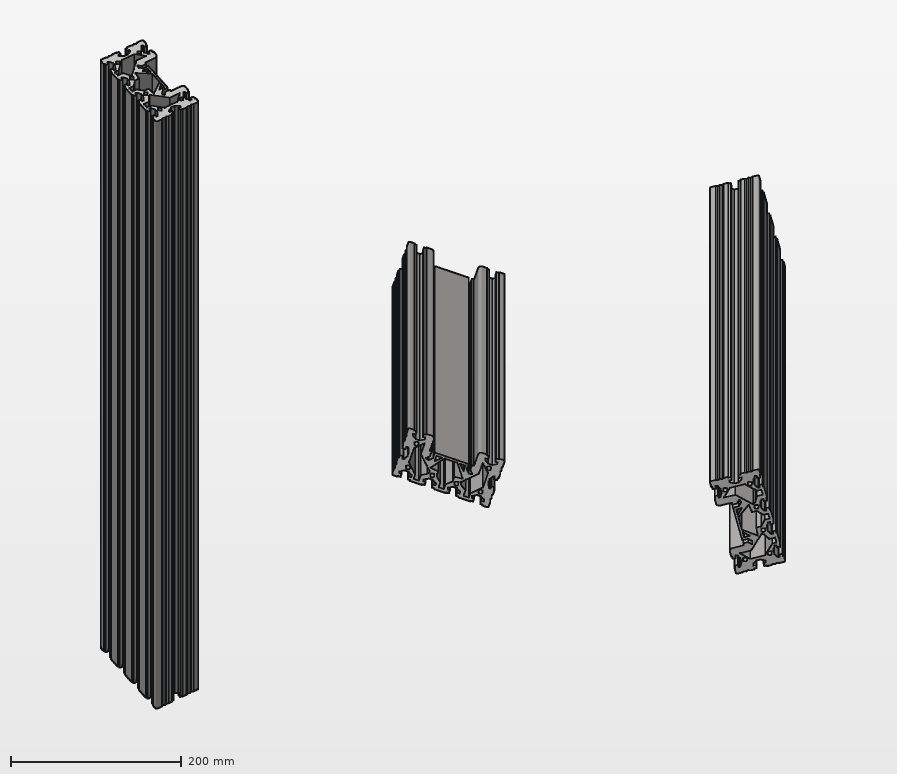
import cadquery as cq

length = 1000.0
width = 120.0
depth = 60.0
cell = 30.0
corner_radius = 2.0
half_width = width / 2
half_depth = depth / 2
outer_column = 1.5 * cell
inner_column = 0.5 * cell
cell_row = 0.5 * cell

recess_half = 7.5
recess_depth = 1.0
mouth_half = 4.4
lip_depth = 5.0
slope_start = 7.0
slot_depth = 10.0
floor_half = 2.5

core_diameter = 5.0

channel_width = 55.0
channel_half = channel_width / 2
channel_floor = 12.0
channel_lip_radius = 4.0
selection_margin = 1.0

slit_inner = 21.0
slit_outer = 25.0
slit_inner_bend = 5.0
slit_outer_bend = 6.0
slit_drop = 4.0

groove_positions = (15.0, 20.0)
groove_half = 2.5
groove_depth = 1.0

neck_half = 3.2
neck_end = -26.0
side_neck = 31.0

side_wall_inner = 46.0
side_shoulder = 9.0
pier_inner = 36.0
pier_foot = 5.0
wedge_tip = 19.0
side_tip_x = 19.0
side_tip_y = -12.0
side_tip_base_x = 21.0
side_tip_base_y = -15.0
side_neck_inner_top = -19.0
side_neck_outer_top = -21.0

floor_thickness = 3.0
roof = channel_floor - floor_thickness
roof_half = 8.0
middle_tip_x = 20.0
middle_tip_y = -7.0
middle_waist = 10.0
waist_top = -8.0
waist_bottom = -14.0
middle_neck_top = -20.0
pocket_outer = 18.0
pocket_side = 7.0


def prism(points):
    """Closed outline extruded over the full length of the bar."""
    return cq.Workplane("XY").polyline(points).close().extrude(length)


def symmetric_prism(right):
    """Prism whose outline is the given right half plus its mirror image across the Y axis."""
    left = [(-x, y) for x, y in reversed(right)]
    return prism(right + left)


def both_sides(solid):
    """The solid together with its mirror image across the YZ plane."""
    return solid.union(solid.mirror("YZ"))


def t_slot(x, y, angle):
    """T-slot cutter whose mouth lies at (x, y); at angle 0 it opens toward -Y."""
    cutter = symmetric_prism([
        (recess_half, 0),
        (recess_half, recess_depth),
        (mouth_half, recess_depth),
        (mouth_half, lip_depth),
        (recess_half, lip_depth),
        (recess_half, slope_start),
        (floor_half, slot_depth),
    ])
    return cutter.rotate((0, 0, 0), (0, 0, 1), angle).translate((x, y, 0))


def v_groove(y):
    """V-groove cutter on the +X side."""
    return prism([
        (half_width, y - groove_half),
        (half_width - groove_depth, y),
        (half_width, y + groove_half),
    ])


def slit():
    """Bent slit that drops from the channel floor and turns outward at 45 degrees."""
    return prism([
        (slit_inner, channel_floor),
        (slit_outer, channel_floor),
        (slit_outer, slit_outer_bend),
        (slit_outer + slit_drop, slit_outer_bend - slit_drop),
        (slit_inner + slit_drop, slit_inner_bend - slit_drop),
        (slit_inner, slit_inner_bend),
    ])


def side_chamber():
    """Hollow between the outer and inner cells, with a neck between two front slots."""
    return prism([
        (side_wall_inner, side_shoulder),
        (pier_inner, wedge_tip),
        (pier_inner, pier_foot),
        (side_tip_x, side_tip_y),
        (side_tip_base_x, side_tip_base_y),
        (side_neck - neck_half, side_neck_inner_top),
        (side_neck - neck_half, neck_end),
        (side_neck + neck_half, neck_end),
        (side_neck + neck_half, side_neck_outer_top),
        (pier_inner, -wedge_tip),
        (side_wall_inner, -side_shoulder),
    ])


def middle_chamber():
    """Hollow under the channel floor, with a neck between the inner slots."""
    return symmetric_prism([
        (neck_half, neck_end),
        (neck_half, middle_neck_top),
        (middle_waist, waist_bottom),
        (middle_waist, waist_top),
        (middle_tip_x, middle_tip_y),
        (roof_half, roof),
    ])


def rib_pocket():
    """Triangular hollow between the channel floor and the diagonal rib below it."""
    return prism([
        (pocket_outer, roof),
        (pocket_outer - pocket_side, roof),
        (pocket_outer, roof - pocket_side),
    ])


bar = cq.Workplane("XY").box(width, depth, length, centered=(True, True, False))
bar = bar.edges("|Z").fillet(corner_radius)

channel = cq.Workplane("XY").box(channel_width, depth, length, centered=(True, False, False))
bar = bar.cut(channel.translate((0, channel_floor, 0)))
rims = cq.selectors.BoxSelector(
    (-channel_half - selection_margin, half_depth - selection_margin, 0),
    (channel_half + selection_margin, half_depth + selection_margin, length),
)
bar = bar.edges("|Z").edges(rims).fillet(channel_lip_radius)

for column in (outer_column, inner_column):
    bar = bar.cut(both_sides(t_slot(column, -half_depth, 0)))
bar = bar.cut(both_sides(t_slot(outer_column, half_depth, 180)))
bar = bar.cut(both_sides(t_slot(half_width, 0, 90)))

for position in groove_positions:
    for groove_y in (position, -position):
        bar = bar.cut(both_sides(v_groove(groove_y)))

core_centers = [(outer_column, cell_row), (outer_column, -cell_row), (inner_column, -cell_row)]
core_holes = cq.Workplane("XY").pushPoints(core_centers).circle(core_diameter / 2).extrude(length)
bar = bar.cut(both_sides(core_holes))

for cutter in (slit(), side_chamber(), rib_pocket()):
    bar = bar.cut(both_sides(cutter))
result = bar.cut(middle_chamber())